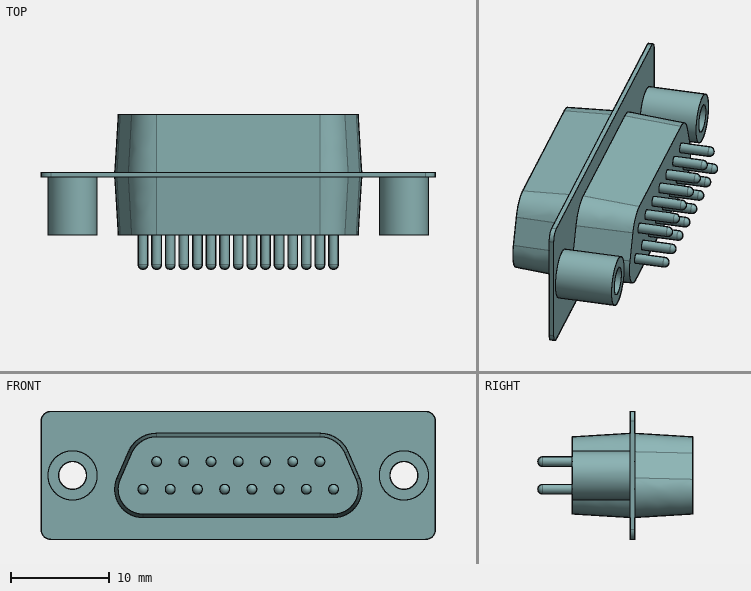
import cadquery as cq
import math

flange_width = 40.0
flange_height = 13.0
flange_thickness = 0.5
flange_corner_radius = 1.0

shell_depth = 5.9
shell_draft = 3.5
shell_half_height = 4.3
shell_upper_radius = 3.1
shell_lower_radius = 2.9
shell_upper_corner_x = 8.3
shell_side_slope = 23.5

standoff_diameter = 5.0
standoff_bore = 2.8
standoff_spacing = 33.6

pin_diameter = 1.0
pin_length = 3.5
pin_pitch = 2.75
pin_row_spacing = 2.8
upper_pin_count = 7
lower_pin_count = 8

flange_front_y = -flange_thickness / 2
shell_front_y = flange_front_y - shell_depth


def plane_facing_front(y):
    """Plane at the given Y whose normal is -Y, with local x = X and local y = Z."""
    return cq.Plane(origin=(0, y, 0), xDir=(1, 0, 0), normal=(0, -1, 0))


def make_flange():
    return (
        cq.Workplane(plane_facing_front(flange_thickness / 2))
        .rect(flange_width, flange_height)
        .extrude(flange_thickness)
        .edges("|Y")
        .fillet(flange_corner_radius)
    )


def make_front_shell():
    """Drafted half of the shell on the -Y face of the flange."""
    slope = math.radians(shell_side_slope)
    upper_x = shell_upper_corner_x
    upper_z = shell_half_height - shell_upper_radius
    lower_z = shell_lower_radius - shell_half_height
    radius_change = shell_upper_radius - shell_lower_radius
    lower_x = upper_x + (radius_change + (upper_z - lower_z) * math.sin(slope)) / math.cos(slope)

    def on_upper_arc(angle):
        return (
            upper_x + shell_upper_radius * math.cos(angle),
            upper_z + shell_upper_radius * math.sin(angle),
        )

    def on_lower_arc(angle):
        return (
            lower_x + shell_lower_radius * math.cos(angle),
            lower_z + shell_lower_radius * math.sin(angle),
        )

    def mirrored(point):
        return (-point[0], point[1])

    upper_top = (upper_x, shell_half_height)
    upper_mid = on_upper_arc((slope + math.pi / 2) / 2)
    upper_side = on_upper_arc(slope)
    lower_side = on_lower_arc(slope)
    lower_mid = on_lower_arc((slope - math.pi / 2) / 2)
    lower_bottom = (lower_x, -shell_half_height)

    return (
        cq.Workplane(plane_facing_front(flange_front_y))
        .moveTo(*mirrored(upper_top))
        .lineTo(*upper_top)
        .threePointArc(upper_mid, upper_side)
        .lineTo(*lower_side)
        .threePointArc(lower_mid, lower_bottom)
        .lineTo(*mirrored(lower_bottom))
        .threePointArc(mirrored(lower_mid), mirrored(lower_side))
        .lineTo(*mirrored(upper_side))
        .threePointArc(mirrored(upper_mid), mirrored(upper_top))
        .close()
        .extrude(shell_depth, taper=shell_draft)
    )


standoff_centers = [(-standoff_spacing / 2, 0), (standoff_spacing / 2, 0)]


def make_standoffs():
    return (
        cq.Workplane(plane_facing_front(flange_front_y))
        .pushPoints(standoff_centers)
        .circle(standoff_diameter / 2)
        .extrude(shell_depth)
    )


def make_standoff_bores():
    return (
        cq.Workplane(plane_facing_front(flange_thickness / 2))
        .pushPoints(standoff_centers)
        .circle(standoff_bore / 2)
        .extrude(flange_thickness + shell_depth)
    )


def make_pin_row(count, z):
    """Row of equally spaced pins centred on X = 0."""
    centers = [((i - (count - 1) / 2) * pin_pitch, z) for i in range(count)]
    tip_radius = pin_diameter / 2
    straight_length = pin_length - tip_radius
    shafts = (
        cq.Workplane(plane_facing_front(shell_front_y))
        .pushPoints(centers)
        .circle(tip_radius)
        .extrude(straight_length)
    )
    tips = (
        cq.Workplane(plane_facing_front(shell_front_y - straight_length))
        .pushPoints(centers)
        .sphere(tip_radius)
    )
    return shafts.union(tips)


front_shell = make_front_shell()
back_shell = front_shell.mirror("XZ")

result = (
    make_flange()
    .union(front_shell)
    .union(back_shell)
    .union(make_standoffs())
    .cut(make_standoff_bores())
    .union(make_pin_row(upper_pin_count, pin_row_spacing / 2))
    .union(make_pin_row(lower_pin_count, -pin_row_spacing / 2))
)